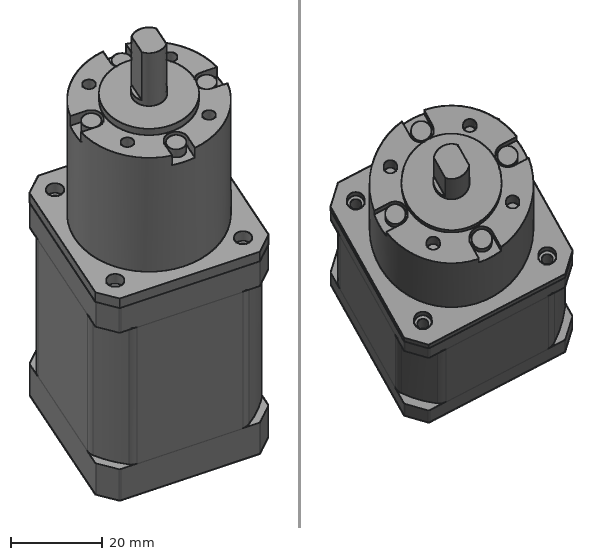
import cadquery as cq
import math

frame_width = 42.0
overall_height = 117.0

rear_cap_height = 9.8
stator_height = 42.5
front_cap_height = 7.7
motor_height = rear_cap_height + stator_height + front_cap_height
corner_chamfer = 4.0
cap_edge_radius = 0.5
stator_corner_diameter = 50.2
stator_edge_radius = 3.0

mount_spacing = 31.0
mount_clearance_diameter = 4.0
mount_thread_diameter = 2.46
mount_thread_depth = front_cap_height

flange_thickness = 3.0
housing_diameter = 36.0
housing_height = 35.5
pilot_diameter = 22.0
pilot_height = 2.0
flange_top = motor_height + flange_thickness
housing_top = flange_top + housing_height
pilot_top = housing_top + pilot_height

bolt_circle_radius = 14.0
slot_width = 5.5
slot_depth = 3.0
screw_head_diameter = 4.5
screw_head_height = 2.5
face_hole_diameter = 3.0
face_hole_depth = 6.0

shaft_diameter = 8.0
shaft_across_flats = 6.0
flats_start_above_pilot = 1.5
shaft_length = overall_height - pilot_top


def square_corners(spacing):
    """Four points at the corners of a centred square."""
    half = spacing / 2
    return [(-half, -half), (half, -half), (half, half), (-half, half)]


def chamfered_square(bottom, height):
    """Square plate with its four upright corners cut at 45 degrees."""
    return (
        cq.Workplane("XY")
        .workplane(offset=bottom)
        .rect(frame_width, frame_width)
        .extrude(height)
        .edges("|Z")
        .chamfer(corner_chamfer)
    )


def make_cap(bottom, height):
    """Motor end cap: a chamfered square with its upright edges slightly rounded."""
    return chamfered_square(bottom, height).edges("|Z").fillet(cap_edge_radius)


def make_stator():
    """Square stack whose corners follow one large circle, blended into the flat sides."""
    square = cq.Workplane("XY").workplane(offset=rear_cap_height).rect(frame_width, frame_width)
    corner_circle = cq.Workplane("XY").workplane(offset=rear_cap_height).circle(stator_corner_diameter / 2)
    stack = square.extrude(stator_height).intersect(corner_circle.extrude(stator_height))
    return stack.edges("|Z").fillet(stator_edge_radius)


def make_motor():
    rear_cap = make_cap(0, rear_cap_height)
    front_cap = make_cap(rear_cap_height + stator_height, front_cap_height)
    threads = (
        cq.Workplane("XY")
        .workplane(offset=motor_height - mount_thread_depth)
        .pushPoints(square_corners(mount_spacing))
        .circle(mount_thread_diameter / 2)
        .extrude(mount_thread_depth)
    )
    stack = rear_cap.union(make_stator(), clean=False).union(front_cap, clean=False)
    return stack.cut(threads, clean=False)


def make_screw_slot(angle):
    """Open slot that runs inward from the rim and ends in a half circle."""
    run_out = housing_diameter / 2
    floor = cq.Workplane("XY").workplane(offset=housing_top - slot_depth)
    rounded_end = floor.center(bolt_circle_radius, 0).circle(slot_width / 2).extrude(slot_depth)
    channel = (
        floor.center(bolt_circle_radius + run_out / 2, 0)
        .rect(run_out, slot_width)
        .extrude(slot_depth)
    )
    return rounded_end.union(channel).rotate((0, 0, 0), (0, 0, 1), angle)


def make_gearbox():
    flange = chamfered_square(motor_height, flange_thickness)
    clearance_holes = (
        cq.Workplane("XY")
        .workplane(offset=motor_height)
        .pushPoints(square_corners(mount_spacing))
        .circle(mount_clearance_diameter / 2)
        .extrude(flange_thickness)
    )
    housing_base = cq.Workplane("XY").workplane(offset=flange_top)
    housing = housing_base.circle(housing_diameter / 2).extrude(housing_height)
    pilot = cq.Workplane("XY").workplane(offset=housing_top).circle(pilot_diameter / 2).extrude(pilot_height)
    face_holes = (
        cq.Workplane("XY")
        .workplane(offset=housing_top - face_hole_depth)
        .pushPoints(square_corners(bolt_circle_radius * math.sqrt(2)))
        .circle(face_hole_diameter / 2)
        .extrude(face_hole_depth)
    )
    screw_heads = (
        cq.Workplane("XY")
        .workplane(offset=housing_top - slot_depth)
        .polarArray(bolt_circle_radius, 0, 360, 4)
        .circle(screw_head_diameter / 2)
        .extrude(screw_head_height)
    )
    gearbox = flange.cut(clearance_holes).union(housing)
    for angle in (0, 90, 180, 270):
        gearbox = gearbox.cut(make_screw_slot(angle))
    return gearbox.union(screw_heads).cut(face_holes).union(pilot)


def make_shaft():
    """Round shaft standing on the pilot, with two flats that face -Y and +Y."""
    shaft = cq.Workplane("XY").workplane(offset=pilot_top).circle(shaft_diameter / 2).extrude(shaft_length)
    flatted_length = shaft_length - flats_start_above_pilot
    cut_depth = (shaft_diameter - shaft_across_flats) / 2
    cut_center = (shaft_across_flats + cut_depth) / 2
    flats = (
        cq.Workplane("XY")
        .workplane(offset=pilot_top + flats_start_above_pilot)
        .pushPoints([(0, -cut_center), (0, cut_center)])
        .rect(shaft_diameter, cut_depth)
        .extrude(flatted_length)
    )
    return shaft.cut(flats)


motor = make_motor()
gearbox = make_gearbox()
output_shaft = make_shaft()

result = cq.Compound.makeCompound([motor.val(), gearbox.val(), output_shaft.val()])